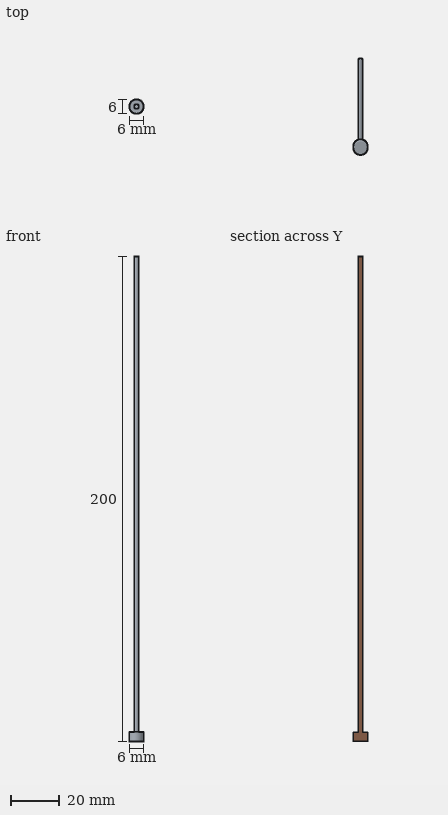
import cadquery as cq

overall_length = 200.0
head_diameter = 6.0
head_height = 4.0
head_rim_fillet = 0.2
shank_diameter = 2.0
neck_fillet = 0.3

smallest_radius = cq.selectors.RadiusNthSelector(0)
largest_radius = cq.selectors.RadiusNthSelector(-1)


def make_head():
    """Cylindrical head standing on the XY plane."""
    return cq.Workplane("XY").circle(head_diameter / 2).extrude(head_height)


def add_shank(head):
    """Long slender shank rising from the centre of the head's top face."""
    shank_length = overall_length - head_height
    return head.faces(">Z").workplane().circle(shank_diameter / 2).extrude(shank_length)


def round_neck(pin):
    """Fillet the inside corner where the shank meets the head."""
    shank_circles = pin.edges("%CIRCLE").edges(smallest_radius)
    return shank_circles.edges("<Z").fillet(neck_fillet)


def round_head_rims(pin):
    """Round the upper and lower outer rims of the head."""
    return pin.edges("%CIRCLE").edges(largest_radius).fillet(head_rim_fillet)


pin = add_shank(make_head())
pin = round_neck(pin)
result = round_head_rims(pin)